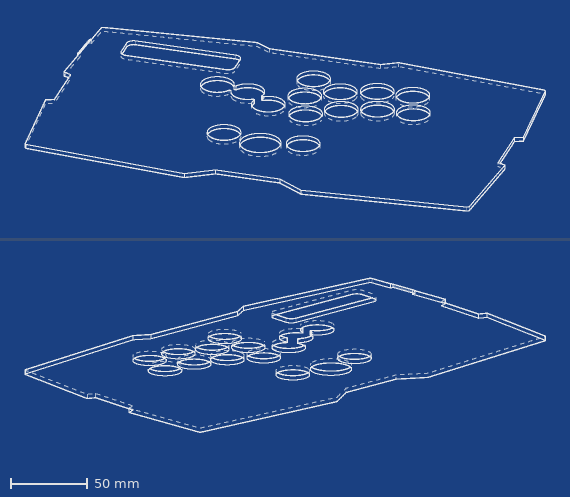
import cadquery as cq
import math

length = 315.0
width = 191.0
thickness = 3.0
half_length = length / 2
half_width = width / 2
corner_x = 152.2
corner_y = 86.3
corner_radius = 1.5

rear_notch_outer_x = 48.5
rear_notch_inner_x = 38.0
rear_notch_floor_y = 89.5
front_notch_outer_x = 40.0
front_notch_inner_x = 22.0
front_notch_floor_y = -84.5
side_notch_center_y = -2.0
side_notch_outer_half = 20.5
side_notch_inner_half = 18.3

window_length = 77.8
window_width = 21.5
window_center = (-91.0, 63.5)
window_radius = 4.7

button_diameter = 22.0
left_hand_centers = [(-56.0, 31.2), (-34.0, 27.5), (-16.0, 14.5)]
button_centers = left_hand_centers + [
    (2.0, 57.3), (24.0, 45.0), (47.0, 52.5), (71.0, 54.2),
    (3.5, 32.5), (31.8, 21.5), (54.5, 28.7), (78.5, 30.5), (11.3, 8.5),
    (-32.0, -32.0), (22.0, -32.0),
]
bridge_width = 7.0
bridge_length = 6.3
large_button_diameter = 27.0
large_button_center = (-5.0, -39.5)

tab_rear_y = 68.0
tab_front_y = 48.5
tab_reach = 2.2
tab_overlap = 1.5


def left_edge_x(y):
    """X of the slanted rear part of the left edge at a given Y."""
    rim_y = side_notch_center_y + side_notch_outer_half
    slope = (half_length - corner_x) / (corner_y - rim_y)
    return -half_length + slope * (y - rim_y)


def make_plate():
    side_outer_rear = side_notch_center_y + side_notch_outer_half
    side_inner_rear = side_notch_center_y + side_notch_inner_half
    side_inner_front = side_notch_center_y - side_notch_inner_half
    side_outer_front = side_notch_center_y - side_notch_outer_half
    right_half = [
        (rear_notch_inner_x, rear_notch_floor_y),
        (rear_notch_outer_x, half_width),
        (corner_x, corner_y),
        (half_length, side_outer_rear),
        (corner_x, side_inner_rear),
        (corner_x, side_inner_front),
        (half_length, side_outer_front),
        (corner_x, -corner_y),
        (front_notch_outer_x, -half_width),
        (front_notch_inner_x, front_notch_floor_y),
    ]
    left_half = [(-x, y) for x, y in reversed(right_half)]
    plate = cq.Workplane("XY").polyline(right_half + left_half).close().extrude(thickness)
    for x in (-corner_x, corner_x):
        for y in (-corner_y, corner_y):
            corner = cq.selectors.NearestToPointSelector((x, y, thickness / 2))
            plate = plate.edges("|Z").edges(corner).fillet(corner_radius)
    return plate


def make_window():
    window = cq.Workplane("XY").center(*window_center).rect(window_length, window_width)
    return window.extrude(thickness).edges("|Z").fillet(window_radius)


def make_holes(centers, diameter):
    return cq.Workplane("XY").pushPoints(centers).circle(diameter / 2).extrude(thickness)


def make_bridge(start, end):
    """Rectangular opening midway between two neighbouring holes."""
    angle = math.degrees(math.atan2(end[1] - start[1], end[0] - start[0]))
    middle = ((start[0] + end[0]) / 2, (start[1] + end[1]) / 2, 0)
    bridge = cq.Workplane("XY").rect(bridge_length, bridge_width).extrude(thickness)
    return bridge.rotate((0, 0, 0), (0, 0, 1), angle).translate(middle)


def make_tab():
    rear_x = left_edge_x(tab_rear_y)
    front_x = left_edge_x(tab_front_y)
    outline = [
        (rear_x + tab_overlap, tab_rear_y),
        (rear_x - tab_reach, tab_rear_y),
        (front_x - tab_reach, tab_front_y),
        (front_x + tab_overlap, tab_front_y),
    ]
    tab = cq.Workplane("XY").polyline(outline).close().extrude(thickness)
    outer_top_edge = cq.selectors.NearestToPointSelector(
        ((rear_x + front_x) / 2 - tab_reach, (tab_rear_y + tab_front_y) / 2, thickness)
    )
    return tab.edges(outer_top_edge).fillet(tab_reach)


plate = (
    make_plate()
    .cut(make_window())
    .cut(make_holes(button_centers, button_diameter))
    .cut(make_holes([large_button_center], large_button_diameter))
)
for start, end in zip(left_hand_centers, left_hand_centers[1:]):
    plate = plate.cut(make_bridge(start, end))
result = plate.union(make_tab())